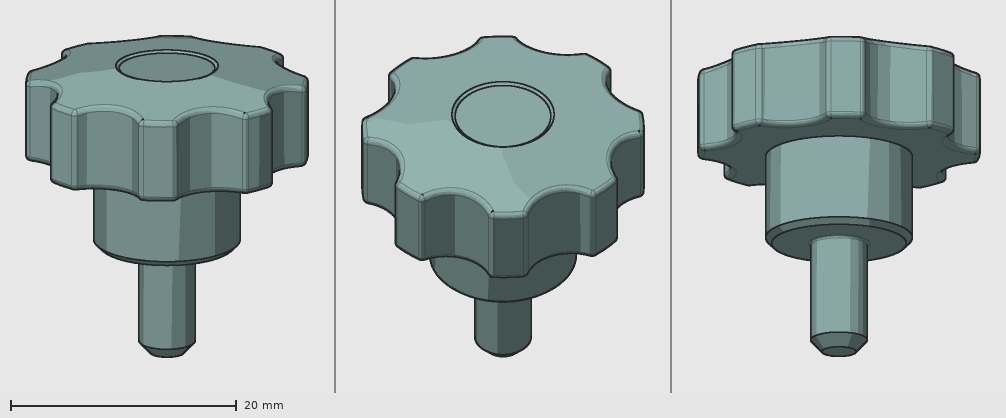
import cadquery as cq
import math

total_height = 26.65
hub_bottom = 10.0
knob_bottom = 18.0

stud_radius = 5.0 / 2
tip_chamfer_length = 1.07
tip_chamfer_width = 0.99
root_fillet = 0.2

hub_radius = 13.0 / 2
hub_chamfer = 0.53

knob_radius = 12.5
dome_radius = 55.99
edge_fillet = 0.5
corner_fillet = 0.53

scallop_count = 8
scallop_radius = 4.0
scallop_depth = 2.03

recess_radius = 4.53
recess_floor_radius = 4.25
recess_depth = 0.2


def make_domed_disc():
    """Round disc with a spherical crown, which passes through the rim of the recess."""
    disc = cq.Workplane("XY", origin=(0, 0, knob_bottom)).circle(knob_radius).extrude(total_height)
    centre_height = total_height - math.sqrt(dome_radius**2 - recess_radius**2)
    ball = (
        cq.Workplane("XZ", origin=(0, 0, centre_height))
        .moveTo(-dome_radius, 0)
        .threePointArc((0, -dome_radius), (dome_radius, 0))
        .close()
        .revolve(360, (0, 0, 0), (1, 0, 0))
    )
    return disc.intersect(ball)


def make_grip():
    disc = make_domed_disc()
    scallops = (
        cq.Workplane("XY", origin=(0, 0, knob_bottom))
        .polarArray(knob_radius - scallop_depth + scallop_radius, 0, 360, scallop_count)
        .circle(scallop_radius)
        .extrude(total_height - knob_bottom)
    )
    lobed = disc.cut(scallops).edges("|Z").fillet(corner_fillet)
    return lobed.edges("not |Z").fillet(edge_fillet)


def make_recess():
    """Cutter for the cap recess: a shallow cone, with a cylinder above it to clear the crown."""
    floor_height = total_height - recess_depth
    clear_height = total_height + recess_radius
    return (
        cq.Workplane("XZ")
        .moveTo(0, floor_height)
        .lineTo(recess_floor_radius, floor_height)
        .lineTo(recess_radius, total_height)
        .lineTo(recess_radius, clear_height)
        .lineTo(0, clear_height)
        .close()
        .revolve(360, (0, 0, 0), (0, 1, 0))
    )


def make_hub():
    hub = cq.Workplane("XY", origin=(0, 0, hub_bottom)).circle(hub_radius)
    return hub.extrude(knob_bottom - hub_bottom).faces("<Z").chamfer(hub_chamfer)


def make_stud():
    """Pin with a chamfered tip and a small fillet flaring out into the hub."""
    root_radius = stud_radius + root_fillet
    arc_offset = root_fillet * (1 - math.sqrt(0.5))
    return (
        cq.Workplane("XZ")
        .lineTo(stud_radius - tip_chamfer_width, 0)
        .lineTo(stud_radius, tip_chamfer_length)
        .lineTo(stud_radius, hub_bottom - root_fillet)
        .threePointArc((stud_radius + arc_offset, hub_bottom - arc_offset), (root_radius, hub_bottom))
        .lineTo(0, hub_bottom)
        .close()
        .revolve(360, (0, 0, 0), (0, 1, 0))
    )


result = make_grip().cut(make_recess()).union(make_hub()).union(make_stud())